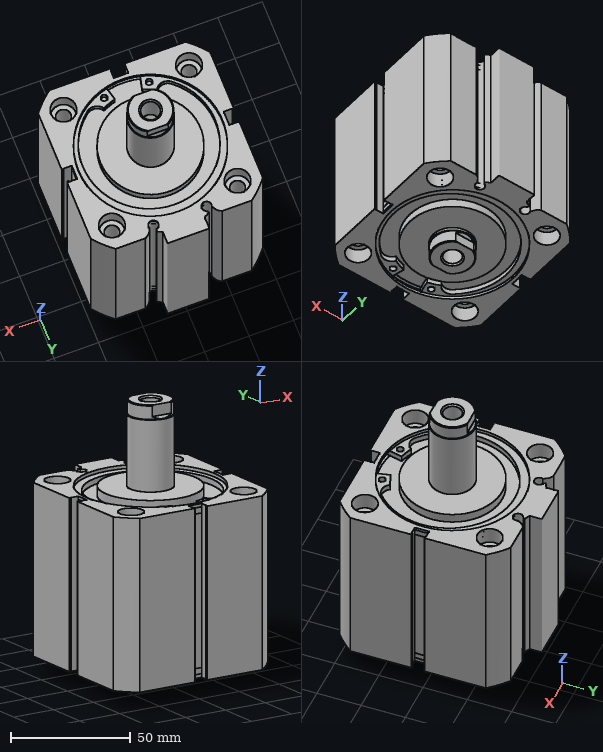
import cadquery as cq
import math


width = 77.5
half = width / 2
overall_depth = 83.0
body_height = 76.1
corner_radius = 49.4
rail_half_width = 9.4
rail_edge_fillet = 0.4
bore_radius = 32.3

bolt_pitch = 56.5
bolt_diameter = 6.6
counterbore_diameter = 11.1
counterbore_depth = 7.6

slot_width = 6.5
slot_mouth = 5.5
slot_lip = 0.7
slot_lip_chamfer = 0.4
slot_floor = 34.2

groove_eye_x = 12.0
groove_eye_y = 34.4
groove_eye_radius = 2.2
groove_half_width = 1.5
groove_tilt = math.radians(27)
groove_lip_x = 17.3
groove_wall_length = 2.9

ring_recess = 1.6
ring_thickness = 2.7
slot_wall = 0.2
ring_outer_radius = slot_floor - slot_wall
ring_inner_radius = 29.8
ring_inner_offset = -1.6
lug_radius = 26.2
lug_start = math.radians(13.5)
lug_end = math.radians(27)
lug_hole_place = math.radians(20)
lug_hole_orbit = 29.5
lug_hole_diameter = 2.9
notch_x = 15.9
notch_y = -25.6
notch_end_x = 18.9

cover_boss_radius = 22.5
cover_boss_height = ring_recess + ring_thickness
cover_thickness = 14.6

rod_length = 122.0
rod_below = 7.9
rod_radius = 10.0
neck_radius = 9.8
neck_length = 6.2
neck_chamfer = 0.4
shank_chamfer = 0.2
flat_distance = 8.5
thread_radius = 4.1
thread_mouth_radius = 4.9
thread_depth = 14.6
drill_half_angle = math.radians(59)


def cylinder(radius, bottom, height):
    return cq.Workplane("XY").workplane(offset=bottom).circle(radius).extrude(height)


def from_front(radius, angle):
    """Point at an angle measured from -Y towards +X."""
    return (radius * math.sin(angle), -radius * math.cos(angle))


def mirrored(point):
    return (-point[0], point[1])


def housing_blank():
    block = cq.Workplane("XY").rect(width, width).extrude(body_height)
    block = block.intersect(cylinder(corner_radius, 0, body_height))
    rail_length = overall_depth - half
    rail = (
        cq.Workplane("XY")
        .center(0, rail_length / 2)
        .rect(2 * rail_half_width, rail_length)
        .extrude(body_height)
        .edges("|Z and >Y")
        .fillet(rail_edge_fillet)
    )
    return block.union(rail)


def sensor_slot():
    """T-shaped slot with chamfered lips, open to -Y."""
    mouth = slot_mouth / 2
    inner = slot_width / 2
    right_side = [
        (mouth + slot_lip_chamfer, -half),
        (mouth, -half + slot_lip_chamfer),
        (mouth, -half + slot_lip),
        (inner, -half + slot_lip),
        (inner, -slot_floor),
    ]
    left_side = [mirrored(p) for p in reversed(right_side)]
    return cq.Workplane("XY").polyline(right_side + left_side).close().extrude(body_height)


def keyhole_groove():
    """Tilted groove with a round eye, on the +X side of the rail."""

    def groove_point(across, along):
        return (
            groove_eye_x + across * math.cos(groove_tilt) + along * math.sin(groove_tilt),
            groove_eye_y - across * math.sin(groove_tilt) + along * math.cos(groove_tilt),
        )

    foot_x = rail_half_width - groove_eye_x
    foot_y = half - groove_eye_y
    ledge_along = foot_x * math.sin(groove_tilt) + foot_y * math.cos(groove_tilt)
    eye_along = math.sqrt(groove_eye_radius**2 - groove_half_width**2)
    lip_start = groove_point(groove_half_width, groove_wall_length)
    return (
        cq.Workplane("XY")
        .moveTo(rail_half_width, half)
        .lineTo(*groove_point(-groove_half_width, ledge_along))
        .lineTo(*groove_point(-groove_half_width, eye_along))
        .threePointArc(
            groove_point(0, -groove_eye_radius),
            groove_point(groove_half_width, eye_along),
        )
        .lineTo(*lip_start)
        .tangentArcPoint((groove_lip_x, half), relative=False)
        .close()
        .extrude(body_height)
    )


def bolt_hole():
    hole = cylinder(bolt_diameter / 2, 0, body_height)
    for bottom in (0, body_height - counterbore_depth):
        hole = hole.union(cylinder(counterbore_diameter / 2, bottom, counterbore_depth))
    return hole


def make_housing():
    body = housing_blank().cut(cylinder(bore_radius, 0, body_height))
    for bottom in ring_bottoms:
        body = body.cut(cylinder(ring_outer_radius, bottom, ring_thickness))
    slot = sensor_slot()
    for turn in (-90, 0, 90):
        body = body.cut(slot.rotate((0, 0, 0), (0, 0, 1), turn))
    groove = keyhole_groove()
    body = body.cut(groove).cut(groove.mirror("YZ"))
    hole = bolt_hole()
    for x in (-bolt_pitch / 2, bolt_pitch / 2):
        for y in (-bolt_pitch / 2, bolt_pitch / 2):
            body = body.cut(hole.translate((x, y, 0)))
    return body


def make_ring(bottom):
    """Internal retaining ring with two drilled lugs beside a gap at -Y."""
    outer_end = from_front(ring_outer_radius, lug_start)
    lug_corner = from_front(lug_radius, lug_start)
    lug_middle = from_front(lug_radius, (lug_start + lug_end) / 2)
    lug_tip = from_front(lug_radius, lug_end)
    notch = (notch_x, notch_y)
    notch_end = (notch_end_x, ring_inner_offset - math.sqrt(ring_inner_radius**2 - notch_end_x**2))
    lug_hole = from_front(lug_hole_orbit, lug_hole_place)
    ring = (
        cq.Workplane("XY")
        .moveTo(*outer_end)
        .threePointArc((0, ring_outer_radius), mirrored(outer_end))
        .lineTo(*mirrored(lug_corner))
        .threePointArc(mirrored(lug_middle), mirrored(lug_tip))
        .threePointArc(mirrored(notch), mirrored(notch_end))
        .threePointArc((0, ring_inner_offset + ring_inner_radius), notch_end)
        .threePointArc(notch, lug_tip)
        .threePointArc(lug_middle, lug_corner)
        .close()
        .extrude(ring_thickness)
    )
    holes = (
        cq.Workplane("XY")
        .pushPoints([lug_hole, mirrored(lug_hole)])
        .circle(lug_hole_diameter / 2)
        .extrude(ring_thickness)
    )
    return ring.cut(holes).translate((0, 0, bottom))


def make_cover():
    """Lower rod cover, with its boss flush with the housing end at z = 0."""
    disc = cylinder(bore_radius, cover_boss_height, cover_thickness)
    boss = cylinder(cover_boss_radius, 0, cover_boss_height)
    rod_hole = cylinder(rod_radius, 0, cover_boss_height + cover_thickness)
    return disc.union(boss).cut(rod_hole)


def thread_hole():
    """Blind drilled hole with a countersunk mouth, entering the lower rod end."""
    countersink = thread_mouth_radius - thread_radius
    drill_tip = thread_depth + thread_radius / math.tan(drill_half_angle)
    return (
        cq.Workplane("XZ")
        .polyline([
            (0, 0),
            (thread_mouth_radius, 0),
            (thread_radius, countersink),
            (thread_radius, thread_depth),
            (0, drill_tip),
        ])
        .close()
        .revolve(360, (0, 0, 0), (0, 1, 0))
    )


def wrench_flat():
    """Cutter for the flat facing -Y at the lower rod end, running out at 45 degrees."""
    runout = neck_radius - flat_distance
    return (
        cq.Workplane("YZ")
        .polyline([
            (-flat_distance, 0),
            (-flat_distance, neck_length - runout),
            (-neck_radius, neck_length),
            (-neck_radius, 0),
        ])
        .close()
        .extrude(neck_radius, both=True)
    )


def make_rod():
    neck = cylinder(neck_radius, 0, rod_length).faces("<Z or >Z").chamfer(neck_chamfer)
    shank = cylinder(rod_radius, neck_length, rod_length - 2 * neck_length)
    rod = neck.union(shank.faces("<Z or >Z").chamfer(shank_chamfer))
    flat = wrench_flat()
    end_cut = thread_hole().union(flat).union(flat.mirror("XZ"))
    rod = rod.cut(end_cut)
    rod = rod.cut(end_cut.mirror("XY").translate((0, 0, rod_length)))
    return rod.translate((0, 0, -rod_below))


ring_bottoms = (ring_recess, body_height - ring_recess - ring_thickness)

housing = make_housing()
rings = [make_ring(bottom) for bottom in ring_bottoms]
lower_cover = make_cover()
upper_cover = lower_cover.mirror("XY").translate((0, 0, body_height))
rod = make_rod()

result = cq.Compound.makeCompound([
    housing.val(),
    *[ring.val() for ring in rings],
    lower_cover.val(),
    upper_cover.val(),
    rod.val(),
])